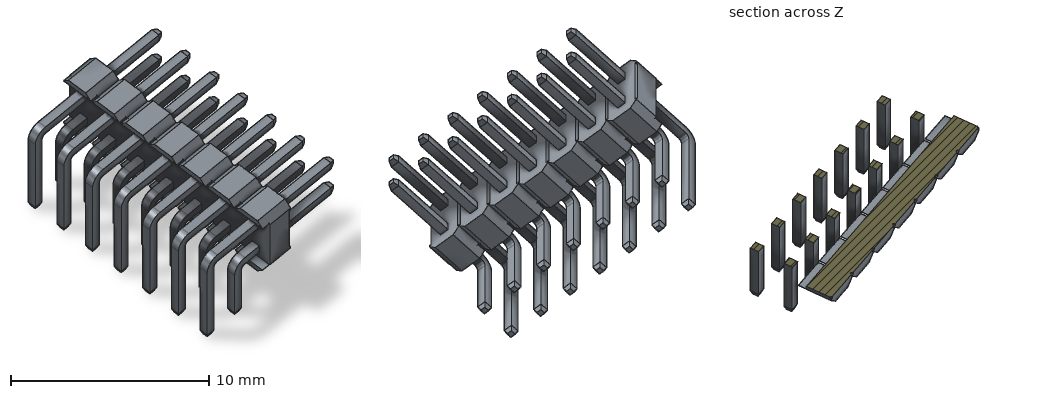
import cadquery as cq

pitch = 2.0
columns = 7
body_length = columns * pitch
body_height = 4.0
body_depth = 1.5

edge_bevel = 0.4

lip_depth = 2.0
lip_thickness = 0.35

groove_depth = 0.1
groove_length = 3.0

pin_width = 0.5
pin_reach = 4.0
lower_leg_y = -3.05
upper_leg_y = lower_leg_y - pitch
leg_bottom_z = -4.8
bend_outer_radius = 0.75
bend_inner_radius = bend_outer_radius - pin_width
tip_length = 0.28
tip_width = 0.3

column_xs = [pitch * (i - (columns - 1) / 2) for i in range(columns)]
boundary_xs = [pitch * (i - columns / 2) for i in range(columns + 1)]


def column_block(x):
    """Bevelled block for one column, as deep as the lips."""
    return (
        cq.Workplane("XY")
        .box(pitch, lip_depth, body_height)
        .edges("|Y")
        .chamfer(edge_bevel)
        .translate((x, -lip_depth / 2, 0))
    )


def front_recess():
    """Space between the two lips, in front of the body's -Y face."""
    recess_depth = lip_depth - body_depth
    recess_height = body_height - 2 * lip_thickness
    return (
        cq.Workplane("XY")
        .box(body_length, recess_depth, recess_height)
        .translate((0, -body_depth - recess_depth / 2, 0))
    )


def back_groove(x):
    """Wedge for a V groove: wide at the +Y face, a vertical edge at its floor, 45 degree ends."""
    wedge = (
        cq.Workplane("XY")
        .polyline([(-groove_depth, 0), (groove_depth, 0), (0, -groove_depth)])
        .close()
        .extrude(groove_length / 2, both=True)
    )
    end_profile = (
        cq.Workplane("YZ")
        .polyline([
            (0, -groove_length / 2),
            (0, groove_length / 2),
            (-groove_depth, groove_length / 2 - groove_depth),
            (-groove_depth, -groove_length / 2 + groove_depth),
        ])
        .close()
        .extrude(groove_depth, both=True)
    )
    return wedge.intersect(end_profile).translate((x, 0, 0))


def tip(plane):
    """Tapered pin end, growing from the plane's origin along its normal."""
    return (
        cq.Workplane(plane)
        .rect(pin_width, pin_width)
        .workplane(offset=tip_length)
        .rect(tip_width, tip_width)
        .loft(combine=True)
    )


def bent_pin(x, row_z, leg_y):
    """Square pin with one 90 degree bend and a tapered tip at both ends."""
    half = pin_width / 2
    back_y = pin_reach - tip_length
    foot_z = leg_bottom_z + tip_length
    length_y = back_y - (leg_y - half)
    height_z = row_z + half - foot_z
    bar = (
        cq.Workplane("YZ")
        .moveTo(back_y, row_z + half)
        .hLine(-(length_y - bend_outer_radius))
        .radiusArc((leg_y - half, row_z + half - bend_outer_radius), -bend_outer_radius)
        .vLine(-(height_z - bend_outer_radius))
        .hLine(pin_width)
        .vLineTo(row_z - half - bend_inner_radius)
        .radiusArc((leg_y + half + bend_inner_radius, row_z - half), bend_inner_radius)
        .hLineTo(back_y)
        .close()
        .extrude(half, both=True)
    )
    back_plane = cq.Plane(origin=(0, back_y, row_z), xDir=(1, 0, 0), normal=(0, 1, 0))
    foot_plane = cq.Plane(origin=(0, leg_y, foot_z), xDir=(1, 0, 0), normal=(0, 0, -1))
    return bar.union(tip(back_plane)).union(tip(foot_plane)).translate((x, 0, 0))


result = column_block(column_xs[0])
for column_x in column_xs[1:]:
    result = result.union(column_block(column_x))
result = result.cut(front_recess())
for boundary_x in boundary_xs:
    result = result.cut(back_groove(boundary_x))

for column_x in column_xs:
    result = result.union(bent_pin(column_x, pitch / 2, upper_leg_y))
    result = result.union(bent_pin(column_x, -pitch / 2, lower_leg_y))
result = result.clean()